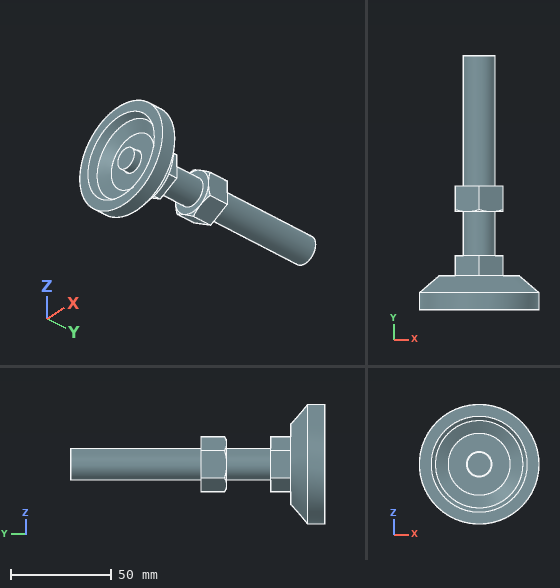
import cadquery as cq
import math


pad_radius = 30.0
pad_height = 17.0
pad_rim_height = 8.5
pad_top_radius = 20.1

recess_mouth_radius = 24.0
recess_step_radius = 21.8
recess_step_depth = 4.3
recess_floor_radius = 15.5
recess_depth = 8.0

overall_length = 127.0
rod_radius = 8.0
collar_height = 10.0
pin_radius = 6.0
pin_end_y = 3.4
pivot_hole_radius = 6.4

hex_across_flats = 24.0
hex_across_corners = hex_across_flats / math.cos(math.pi / 6)

nut_start_y = 49.0
nut_height = 13.0
nut_chamfer_angle = math.radians(30)


def cylinder(radius, start_y, end_y):
    """Cylinder along the Y axis."""
    plane = cq.Workplane("XZ", origin=(0, start_y, 0))
    return plane.circle(radius).extrude(start_y - end_y)


def hex_prism(start_y, height):
    """Hexagonal prism along the Y axis, with two flats facing -X and +X."""
    plane = cq.Workplane("XZ", origin=(0, start_y, 0)).transformed(rotate=(0, 0, 30))
    return plane.polygon(6, hex_across_corners).extrude(-height)


def revolve_about_y(points):
    """Solid of revolution from (radius, y) points."""
    return cq.Workplane("XY").polyline(points).close().revolve(360, (0, 0, 0), (0, 1, 0))


def make_pad():
    """Round foot with a conical top, a stepped conical recess and a pivot hole."""
    return revolve_about_y([
        (recess_mouth_radius, 0),
        (pad_radius, 0),
        (pad_radius, pad_rim_height),
        (pad_top_radius, pad_height),
        (pivot_hole_radius, pad_height),
        (pivot_hole_radius, recess_depth),
        (recess_floor_radius, recess_depth),
        (recess_step_radius, recess_step_depth),
    ])


def make_stud():
    """Threaded rod (plain), collar resting on the pad, and pin through the pad."""
    collar_end_y = pad_height + collar_height
    pin = cylinder(pin_radius, pin_end_y, pad_height)
    collar = hex_prism(pad_height, collar_height)
    rod = cylinder(rod_radius, collar_end_y, overall_length)
    return collar.union(pin).union(rod)


def make_nut():
    """Hexagonal lock nut whose corners are chamfered on the pad side only."""
    nut_end_y = nut_start_y + nut_height
    face_radius = hex_across_flats / 2
    corner_radius = hex_across_corners / 2
    chamfer_height = (corner_radius - face_radius) * math.tan(nut_chamfer_angle)
    chamfer_envelope = revolve_about_y([
        (0, nut_start_y),
        (face_radius, nut_start_y),
        (corner_radius, nut_start_y + chamfer_height),
        (corner_radius, nut_end_y),
        (0, nut_end_y),
    ])
    bore = cylinder(rod_radius, nut_start_y, nut_end_y)
    return hex_prism(nut_start_y, nut_height).intersect(chamfer_envelope).cut(bore)


pad = make_pad()
stud = make_stud()
nut = make_nut()

result = cq.Compound.makeCompound([pad.val(), stud.val(), nut.val()])